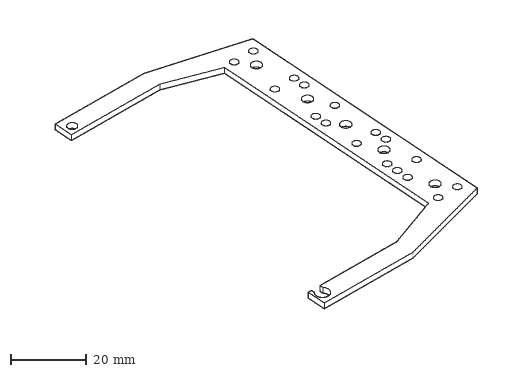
import cadquery as cq

width = 105.5
depth = 63.7
thickness = 2.0
half_width = width / 2

top_edge_half = 44.0
band_depth = 14.0
leg_width = 6.3
knee_y = 32.2
leg_inner_x = half_width - leg_width
band_inner_y = depth - band_depth

hole_span = 80.0
pitch_count = 20
hole_pitch = hole_span / pitch_count
inner_corner_x = hole_span / 2
small_diameter = 2.5
large_diameter = 3.3
row_spacing = 7.0
band_center_y = depth - band_depth / 2
upper_row_steps = [-10, -6, -5, -2, 2, 3, 6, 10]
lower_row_steps = [-10, -6, -2, -1, 2, 5, 6, 7, 10]
large_inner_x = 15.0
large_outer_x = 35.0

end_center_x = 49.1
end_center_y = 2.7
pivot_diameter = 3.0
socket_diameter = 4.3
socket_mouth = 3.1


def drill(body, points, diameter):
    """Cut round through holes at the given points."""
    cutter = cq.Workplane("XY").pushPoints(points).circle(diameter / 2).extrude(thickness)
    return body.cut(cutter)


right_outline = [
    (top_edge_half, depth),
    (half_width, knee_y),
    (half_width, 0),
    (leg_inner_x, 0),
    (leg_inner_x, knee_y),
    (inner_corner_x, band_inner_y),
]
left_outline = [(-x, y) for x, y in reversed(right_outline)]
frame = cq.Workplane("XY").polyline(right_outline + left_outline).close().extrude(thickness)

for steps, side in ((upper_row_steps, 1), (lower_row_steps, -1)):
    row_y = band_center_y + side * row_spacing / 2
    frame = drill(frame, [(step * hole_pitch, row_y) for step in steps], small_diameter)

large_x = [-large_outer_x, -large_inner_x, 0, large_inner_x, large_outer_x]
frame = drill(frame, [(x, band_center_y) for x in large_x], large_diameter)

frame = drill(frame, [(-end_center_x, end_center_y)], pivot_diameter)
frame = drill(frame, [(end_center_x, end_center_y)], socket_diameter)

mouth_length = end_center_x - leg_inner_x
mouth = (
    cq.Workplane("XY")
    .center(end_center_x - mouth_length / 2, end_center_y)
    .rect(mouth_length, socket_mouth)
    .extrude(thickness)
)
result = frame.cut(mouth)